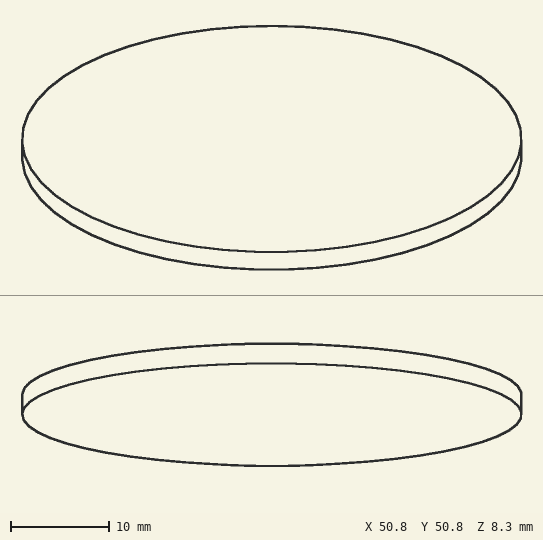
import cadquery as cq

diameter = 50.8
center_thickness = 8.3
rim_thickness = 2.05

radius = diameter / 2
half_center = center_thickness / 2
half_rim = rim_thickness / 2
sag = half_center - half_rim
surface_radius = (radius**2 + sag**2) / (2 * sag)

mid_radius = radius / 2
mid_height = half_center - surface_radius + (surface_radius**2 - mid_radius**2) ** 0.5

half_section = (
    cq.Workplane("XZ")
    .moveTo(0, -half_center)
    .threePointArc((mid_radius, -mid_height), (radius, -half_rim))
    .lineTo(radius, half_rim)
    .threePointArc((mid_radius, mid_height), (0, half_center))
    .close()
)

result = half_section.revolve(360, (0, 0, 0), (0, 1, 0))